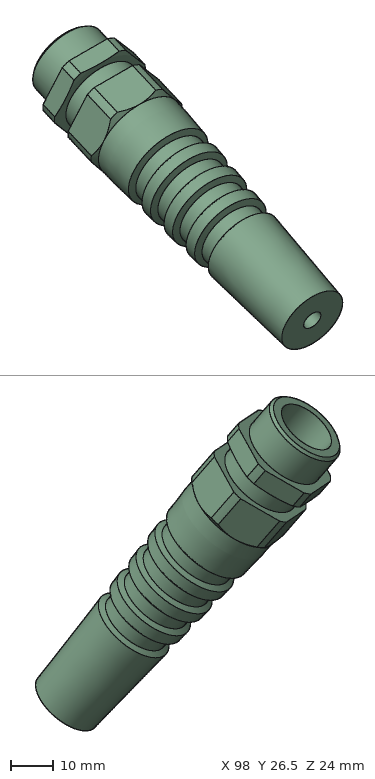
import cadquery as cq
import math

total_length = 98.0
across_flats = 24.0
corner_diameter = 26.49

spigot_diameter = 20.4
spigot_chamfer = 0.7

lock_nut_start = 8.9
lock_nut_width = 5.0
lock_nut_bevel = 0.35

cap_start = 18.9
cap_bevel_start = 28.1
cap_bevel_end = 29.3
barrel_diameter = 23.9
barrel_taper_start = 33.7

tail_end_diameter = 17.8
groove_count = 4
groove_pitch = 8.25
groove_depth = 1.6
groove_flank_width = 0.7
groove_floor_width = 3.65
first_groove_floor_start = 41.4

bore_mouth_diameter = 14.4
bore_floor_diameter = 12.9
bore_depth = 40.0
cable_hole_diameter = 5.0


def revolve_outline(points):
    """Solid of revolution about X from (x, radius) points, closed along the axis."""
    start_x = points[0][0]
    end_x = points[-1][0]
    outline = cq.Workplane("XY").polyline([(start_x, 0), *points, (end_x, 0)]).close()
    return outline.revolve(360, (0, 0, 0), (1, 0, 0))


def hexagon(start_x, end_x):
    """Hexagonal prism along X with flats facing +Z and -Z."""
    across_corners = across_flats / math.cos(math.pi / 6)
    plane = cq.Workplane("YZ", origin=(start_x, 0, 0))
    return plane.polygon(6, across_corners).extrude(end_x - start_x)


def make_spigot():
    """Chamfered entry tube that carries the lock nut and reaches the cap nut."""
    radius = spigot_diameter / 2
    return revolve_outline([
        (0, radius - spigot_chamfer),
        (spigot_chamfer, radius),
        (cap_start, radius),
    ])


def make_lock_nut():
    """Hexagon with rounded corners and a conical back face that meets the flats."""
    end_x = lock_nut_start + lock_nut_width
    envelope = revolve_outline([
        (lock_nut_start, corner_diameter / 2),
        (end_x - lock_nut_bevel, corner_diameter / 2),
        (end_x, across_flats / 2),
    ])
    return hexagon(lock_nut_start, end_x).intersect(envelope)


def make_cap_nut():
    """Hexagon whose bevel ends flush with its flats, where the round barrel starts."""
    envelope = revolve_outline([
        (cap_start, corner_diameter / 2),
        (cap_bevel_start, corner_diameter / 2),
        (cap_bevel_end, across_flats / 2),
        (barrel_taper_start, barrel_diameter / 2),
    ])
    return hexagon(cap_start, barrel_taper_start).intersect(envelope)


def tail_radius(x):
    """Outer radius of the tail cone at a position along the axis."""
    taper = (barrel_diameter - tail_end_diameter) / 2 / (total_length - barrel_taper_start)
    return barrel_diameter / 2 - taper * (x - barrel_taper_start)


def make_tail():
    """Tapered tail with trapezoidal grooves whose floors follow the cone."""
    points = [(barrel_taper_start, tail_radius(barrel_taper_start))]
    for i in range(groove_count):
        floor_start = first_groove_floor_start + i * groove_pitch
        floor_end = floor_start + groove_floor_width
        mouth_start = floor_start - groove_flank_width
        mouth_end = floor_end + groove_flank_width
        points += [
            (mouth_start, tail_radius(mouth_start)),
            (floor_start, tail_radius(floor_start) - groove_depth),
            (floor_end, tail_radius(floor_end) - groove_depth),
            (mouth_end, tail_radius(mouth_end)),
        ]
    points.append((total_length, tail_radius(total_length)))
    return revolve_outline(points)


def make_bore():
    """Cutter for the tapered bore and the cable hole behind it."""
    return revolve_outline([
        (0, bore_mouth_diameter / 2),
        (bore_depth, bore_floor_diameter / 2),
        (bore_depth, cable_hole_diameter / 2),
        (total_length, cable_hole_diameter / 2),
    ])


body = make_spigot().union(make_lock_nut()).union(make_cap_nut()).union(make_tail())
result = body.cut(make_bore())